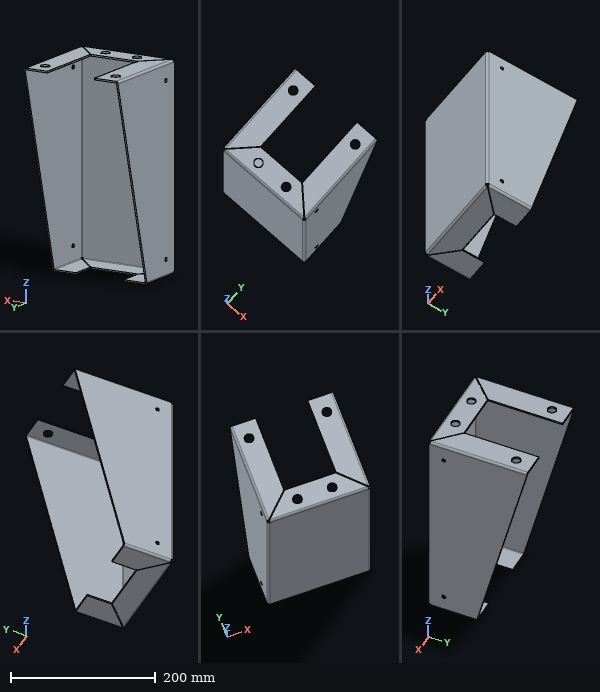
import cadquery as cq
import math

height = 304.8
width = height / 2
top_depth = height / 2
bottom_depth = top_depth / 2
sheet = 2.5
bend_radius = 3.5
flange_width = 38.0
miter_gap = 0.5

hole_inset = 25.3
wall_hole_diameter = 5.2
flange_hole_diameter = 12.8
front_hole_spacing = 51.0

front_y = -top_depth / 2
rear_y = top_depth / 2
taper_foot_y = front_y + bottom_depth
half_height = height / 2
half_width = width / 2


def rounded_block(inset):
    """Block inset from the outer faces, rounded along the bends and overrunning the rear."""
    length = 2 * top_depth
    block = (
        cq.Workplane("XY")
        .box(width - 2 * inset, length, height - 2 * inset)
        .translate((0, front_y + inset + length / 2, 0))
    )
    return block.edges("|Y or <Y").fillet(bend_radius - inset)


def side_profile():
    """Outline of the side walls, deep at the top and tapering to the bottom bend."""
    return (
        cq.Workplane("YZ")
        .polyline([
            (front_y, -half_height),
            (taper_foot_y, -half_height),
            (taper_foot_y, -half_height + bend_radius),
            (rear_y, half_height - bend_radius),
            (rear_y, half_height),
            (front_y, half_height),
        ])
        .close()
        .extrude(half_width, both=True)
    )


def flange_opening():
    """Clear space between the flanges, open to the rear."""
    opening_depth = top_depth - flange_width
    return cq.Workplane("XY").box(width - 2 * flange_width, opening_depth, height).translate(
        (0, rear_y - opening_depth / 2, 0)
    )


def miter_cut(side):
    """Diagonal slit parting the front and side flanges, from the bend corner into the opening."""
    start = bend_radius
    end = flange_width + miter_gap
    middle = (start + end) / 2
    return (
        cq.Workplane("XY")
        .box((end - start) * math.sqrt(2), miter_gap, height)
        .rotate((0, 0, 0), (0, 0, 1), -45 * side)
        .translate((side * (half_width - middle), front_y + middle, 0))
    )


def corner_relief(side, level):
    """Cube where three bends would meet, removed so that each bend ends square."""
    inset = bend_radius / 2
    return cq.Workplane("XY").box(bend_radius, bend_radius, bend_radius).translate(
        (side * (half_width - inset), front_y + inset, level * (half_height - inset))
    )


def wall_holes():
    """Small holes through both side walls, near the top and bottom."""
    hole_z = half_height - hole_inset
    return (
        cq.Workplane("YZ")
        .pushPoints([(front_y + hole_inset, hole_z), (front_y + hole_inset, -hole_z)])
        .circle(wall_hole_diameter / 2)
        .extrude(half_width, both=True)
    )


def top_flange_holes():
    """Mounting holes through the top flanges only, centred across each flange."""
    side_x = half_width - flange_width / 2
    front_hole_y = front_y + flange_width / 2
    points = []
    for side in (-1, 1):
        points.append((side * side_x, rear_y - hole_inset))
        points.append((side * front_hole_spacing / 2, front_hole_y))
    return (
        cq.Workplane("XY", origin=(0, 0, half_height - bend_radius))
        .pushPoints(points)
        .circle(flange_hole_diameter / 2)
        .extrude(bend_radius)
    )


result = rounded_block(0).cut(rounded_block(sheet)).intersect(side_profile())
result = result.cut(flange_opening())
for corner_side in (-1, 1):
    result = result.cut(miter_cut(corner_side))
    for corner_level in (-1, 1):
        result = result.cut(corner_relief(corner_side, corner_level))
result = result.cut(wall_holes()).cut(top_flange_holes())